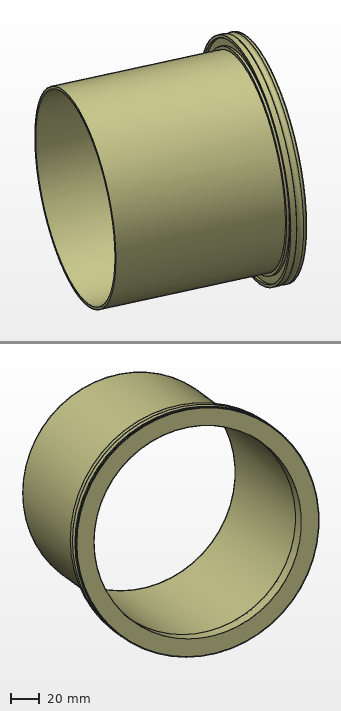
import cadquery as cq

overall_length = 138.0
flange_radius = 89.9
flange_thickness = 12.0
flange_bore_radius = 76.5
sealing_edge_chamfer = 0.5

groove_radius = 2.5
groove_centre = 5.0

recess_outer_radius = 87.7
recess_inner_radius = 81.8
recess_depth = 2.0

tube_outer_radius = 79.5
tube_inner_radius = 77.5

flange_back = -flange_thickness
tube_length = overall_length - flange_thickness


def ring(outer_radius, inner_radius, start, length):
    """Ring about the Y axis, running from Y = start toward -Y."""
    return (
        cq.Workplane("XZ", origin=(0, start, 0))
        .circle(outer_radius)
        .circle(inner_radius)
        .extrude(length)
    )


def clamping_groove():
    """Cutter for the rim groove: a ring of round section centred on the rim."""
    return (
        cq.Workplane("XY")
        .center(flange_radius, -groove_centre)
        .circle(groove_radius)
        .revolve(360, (-flange_radius, 0, 0), (-flange_radius, 1, 0))
    )


def make_flange():
    disc = cq.Workplane("XZ").circle(flange_radius).extrude(flange_thickness)
    disc = disc.faces(">Y").edges().chamfer(sealing_edge_chamfer)
    bore = cq.Workplane("XZ").circle(flange_bore_radius).extrude(flange_thickness)
    recess = ring(recess_outer_radius, recess_inner_radius, flange_back + recess_depth, recess_depth)
    return disc.cut(bore).cut(clamping_groove()).cut(recess)


def make_tube():
    """Tube butted against the back face of the flange hub."""
    return ring(tube_outer_radius, tube_inner_radius, flange_back, tube_length)


flange = make_flange()
tube = make_tube()

result = cq.Compound.makeCompound([flange.val(), tube.val()])